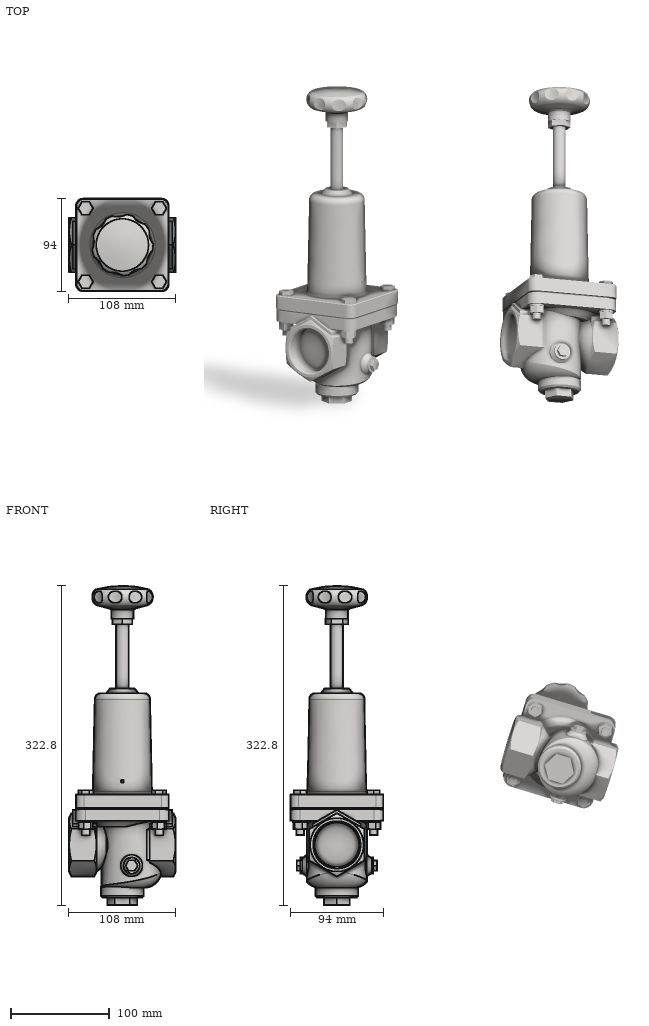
import cadquery as cq
import math

total_height = 322.8
port_span = 108.0

flange_side = 94.0
lower_flange_bottom = 85.5
lower_flange_top = 97.0
upper_flange_bottom = 98.5
upper_flange_top = 112.3
lower_corner_radius = 9.7
upper_corner_radius = 7.7
flange_edge_chamfer = 0.5
gasket_side = 88.5
flare_bottom = 79.5
flare_top_radius = 37.8
flare_bottom_radius = 30.5

bolt_offset = 37.0
bolt_diameter = 8.0
bolt_hex_flats = 13.0
bolt_head_height = 4.0
nut_height = 6.8
nut_turn = 15.0
nut_washer_diameter = 15.0
nut_washer_thickness = 2.0
bolt_end = 70.7

chamber_offset = 9.5
chamber_diameter = 61.0
chamber_bottom = 17.5
bowl_offset = 5.0
bowl_belly_radius = 31.5
bowl_belly = 25.2
bowl_rim = 35.5
cap_diameter = 43.5
cap_bottom = 7.7
cap_top = 18.5
cap_chamfer = 2.0
drain_hex_flats = 26.5

port_height = 61.0
port_hex_flats = 55.5
port_face_diameter = 54.0
port_face_chamfer = 2.5
port_bore_diameter = 45.0
port_bore_depth = 19.5
port_bore_chamfer = 1.5
left_hex_end = -25.8
left_neck_end = -16.0
left_neck_radius = 18.7
right_hex_start = 27.8
right_neck_flats = 53.0
rib_rise = 3.2
rib_half_width = 24.2
rib_setback = 4.0

plug_height = 40.0
plug_reach = 40.7
plug_hex_flats = 10.5
plug_washer_diameter = 16.5
plug_washer_face = 36.8
plug_boss_face = 35.2
plug_boss_diameter = 15.0
plug_boss_root_diameter = 22.0
plug_boss_root = 30.5

bonnet_base_radius = 30.0
bonnet_shoulder_radius = 28.0
bonnet_shoulder = 208.0
bonnet_top = 214.5
bonnet_shoulder_fillet = bonnet_top - bonnet_shoulder
bonnet_foot_fillet = 3.0
nose_base_radius = 16.0
nose_top_diameter = 26.0
nose_top_radius = nose_top_diameter / 2
nose_top = 219.2
nose_chamfer = 1.0
vent_diameter = 3.0
vent_height = 125.2
vent_depth = 6.5

spindle_diameter = 13.0
locknut_flats = 20.0
locknut_bottom = 283.7
hub_bottom = 289.5
hub_diameter = 23.0
hub_top = 298.5
wheel_bottom = 300.0
wheel_bottom_radius = 13.5
rim_bottom = 302.8
rim_bottom_radius = 25.0
rim_middle = 311.2
rim_radius = 31.0
rim_top = 319.2
rim_top_radius = 26.5
grip_count = 9
grip_start_angle = 16.0
grip_cut_radius = 17.8
grip_depth = 2.3


def corner_diameter(flats):
    """Across-corner size of a hexagon given its across-flats size."""
    return flats / math.cos(math.radians(30))


def cylinder(diameter, bottom, top):
    return cq.Workplane("XY").workplane(offset=bottom).circle(diameter / 2).extrude(top - bottom)


def hex_prism(flats, bottom, top):
    """Upright hexagon with two corners on X."""
    plane = cq.Workplane("XY").workplane(offset=bottom)
    return plane.polygon(6, corner_diameter(flats)).extrude(top - bottom)


def square_plate(side, bottom, top, corner_radius):
    plate = cq.Workplane("XY").workplane(offset=bottom).rect(side, side).extrude(top - bottom)
    return plate.edges("|Z").fillet(corner_radius)


def cone_frustum(bottom_radius, bottom, top_radius, top):
    profile = cq.Workplane("XZ").polyline([(0, bottom), (bottom_radius, bottom), (top_radius, top), (0, top)])
    return profile.close().revolve(360, (0, 0), (0, 1))


def port_hexagon(flats, start, end):
    """Hexagonal prism along X on the port axis, with two corners on Z."""
    outline = cq.Workplane("YZ", origin=(start, 0, port_height))
    outline = outline.polygon(6, corner_diameter(flats))
    return outline.extrude(end - start).rotate((0, 0, port_height), (1, 0, port_height), 90)


def revolve_on_port_axis(points):
    """Solid of revolution about the port axis from (x, radius) points."""
    profile = cq.Workplane("XZ", origin=(0, 0, port_height)).polyline(points)
    return profile.close().revolve(360, (0, 0), (1, 0))


def flanges():
    lower = square_plate(flange_side, lower_flange_bottom, lower_flange_top, lower_corner_radius)
    gasket = square_plate(gasket_side, lower_flange_top, upper_flange_bottom, lower_corner_radius)
    upper = square_plate(flange_side, upper_flange_bottom, upper_flange_top, upper_corner_radius)
    upper = upper.faces(">Z").edges().chamfer(flange_edge_chamfer)
    flare = cone_frustum(flare_bottom_radius, flare_bottom, flare_top_radius, lower_flange_bottom)
    return lower.union(gasket).union(upper).union(flare)


def bolt():
    nut_top = lower_flange_bottom - nut_washer_thickness
    head = hex_prism(bolt_hex_flats, upper_flange_top, upper_flange_top + bolt_head_height)
    nut = hex_prism(bolt_hex_flats, nut_top - nut_height, nut_top).rotate((0, 0, 0), (0, 0, 1), nut_turn)
    washer = cylinder(nut_washer_diameter, nut_top, lower_flange_bottom)
    shank = cylinder(bolt_diameter, bolt_end, upper_flange_top)
    return shank.union(head).union(washer).union(nut)


def chamber():
    barrel = cylinder(chamber_diameter, chamber_bottom, lower_flange_bottom)
    barrel = barrel.translate((chamber_offset, 0, 0))
    bowl_radius = chamber_offset - bowl_offset + chamber_diameter / 2
    bowl = (
        cq.Workplane("XZ")
        .moveTo(0, chamber_bottom)
        .lineTo(cap_diameter / 2 - bowl_offset, chamber_bottom)
        .threePointArc((bowl_belly_radius, bowl_belly), (bowl_radius, bowl_rim))
        .lineTo(bowl_radius, lower_flange_bottom)
        .lineTo(0, lower_flange_bottom)
        .close()
        .revolve(360, (0, 0), (0, 1))
        .translate((bowl_offset, 0, 0))
    )
    return barrel.intersect(bowl)


def bottom_cap():
    cap = cylinder(cap_diameter, cap_bottom, cap_top).faces("<Z").edges().chamfer(cap_chamfer)
    return cap.union(hex_prism(drain_hex_flats, 0, cap_bottom))


def port_rib(inner, outer):
    """Roof-shaped rib over a port hexagon, reaching up under the lower flange."""
    ridge = port_height + corner_diameter(port_hex_flats) / 2 + rib_rise
    eave = ridge - rib_half_width * math.tan(math.radians(30))
    outline = cq.Workplane("YZ", origin=(inner, 0, 0)).polyline([
        (-rib_half_width, port_height),
        (rib_half_width, port_height),
        (rib_half_width, eave),
        (0, ridge),
        (-rib_half_width, eave),
    ])
    return outline.close().extrude(outer - inner)


def ports():
    face = port_span / 2
    corner_radius = corner_diameter(port_hex_flats) / 2
    face_radius = port_face_diameter / 2
    envelope = revolve_on_port_axis([
        (-face, 0),
        (-face, face_radius),
        (-face + port_face_chamfer, corner_radius),
        (left_hex_end - port_face_chamfer, corner_radius),
        (left_hex_end, face_radius),
        (left_neck_end, left_neck_radius),
        (chamber_offset, left_neck_radius),
        (chamber_offset, corner_radius),
        (face - port_face_chamfer, corner_radius),
        (face, face_radius),
        (face, 0),
    ])
    hexagons = port_hexagon(port_hex_flats, -face, chamber_offset)
    hexagons = hexagons.union(port_hexagon(right_neck_flats, chamber_offset, right_hex_start))
    hexagons = hexagons.union(port_hexagon(port_hex_flats, right_hex_start, face))
    rib_end = face - rib_setback
    ribs = port_rib(-rib_end, left_hex_end).union(port_rib(right_hex_start, rib_end))
    return hexagons.intersect(envelope).union(ribs)


def port_bore():
    """Blind bore of the left port with its lead-in chamfer."""
    face = port_span / 2
    radius = port_bore_diameter / 2
    return revolve_on_port_axis([
        (-face, 0),
        (-face, radius + port_bore_chamfer),
        (-face + port_bore_chamfer, radius),
        (-face + port_bore_depth, radius),
        (-face + port_bore_depth, 0),
    ])


def side_plug():
    """Plug standing upright on Z, later turned to point along -Y."""
    boss = cone_frustum(plug_boss_root_diameter / 2, plug_boss_root, plug_boss_diameter / 2, plug_boss_face)
    washer = cylinder(plug_washer_diameter, plug_boss_face, plug_washer_face)
    head = hex_prism(plug_hex_flats, plug_washer_face, plug_reach)
    root = cylinder(plug_boss_root_diameter, 0, plug_boss_root)
    plug = root.union(boss).union(washer).union(head)
    return plug.rotate((0, 0, 0), (1, 0, 0), 90).translate((chamber_offset, 0, plug_height))


def bonnet():
    foot_radius = bonnet_base_radius + bonnet_foot_fillet
    foot_top = upper_flange_top + bonnet_foot_fillet
    diagonal = math.sqrt(0.5)
    foot_middle = (foot_radius - bonnet_foot_fillet * diagonal, foot_top - bonnet_foot_fillet * diagonal)
    crown_radius = bonnet_shoulder_radius - bonnet_shoulder_fillet
    crown_middle = (
        crown_radius + bonnet_shoulder_fillet * diagonal,
        bonnet_shoulder + bonnet_shoulder_fillet * diagonal,
    )
    profile = (
        cq.Workplane("XZ")
        .moveTo(0, upper_flange_top)
        .lineTo(foot_radius, upper_flange_top)
        .threePointArc(foot_middle, (bonnet_base_radius, foot_top))
        .lineTo(bonnet_shoulder_radius, bonnet_shoulder)
        .threePointArc(crown_middle, (crown_radius, bonnet_top))
        .lineTo(nose_base_radius, bonnet_top)
        .lineTo(nose_top_radius, nose_top - nose_chamfer)
        .lineTo(nose_top_radius - nose_chamfer, nose_top)
        .lineTo(0, nose_top)
        .close()
    )
    return profile.revolve(360, (0, 0), (0, 1))


def vent_hole():
    plane = cq.Workplane("XZ", origin=(0, -bonnet_base_radius + vent_depth, vent_height))
    return plane.circle(vent_diameter / 2).extrude(vent_depth + bonnet_foot_fillet)


def handwheel():
    dome_height = total_height - rim_top
    dome_radius = (rim_top_radius**2 + dome_height**2) / (2 * dome_height)
    half_way = rim_top_radius / 2
    dome_middle = (half_way, total_height - dome_radius + math.sqrt(dome_radius**2 - half_way**2))
    profile = (
        cq.Workplane("XZ")
        .moveTo(0, hub_top)
        .lineTo(hub_diameter / 2, hub_top)
        .lineTo(wheel_bottom_radius, wheel_bottom)
        .lineTo(rim_bottom_radius, rim_bottom)
        .threePointArc((rim_radius, rim_middle), (rim_top_radius, rim_top))
        .threePointArc(dome_middle, (0, total_height))
        .close()
    )
    wheel = profile.revolve(360, (0, 0), (0, 1))
    grip_circle = rim_radius - grip_depth + grip_cut_radius
    grips = (
        cq.Workplane("XY")
        .workplane(offset=wheel_bottom)
        .polarArray(grip_circle, grip_start_angle, 360, grip_count)
        .circle(grip_cut_radius)
        .extrude(total_height - wheel_bottom, combine=False)
    )
    return wheel.cut(grips)


def spindle():
    rod = cylinder(spindle_diameter, bonnet_top, hub_top)
    locknut = hex_prism(locknut_flats, locknut_bottom, hub_bottom).rotate((0, 0, 0), (0, 0, 1), 90)
    return rod.union(locknut).union(cylinder(hub_diameter, hub_bottom, hub_top))


result = flanges().union(chamber()).union(bottom_cap()).union(ports())
for x in (-bolt_offset, bolt_offset):
    for y in (-bolt_offset, bolt_offset):
        result = result.union(bolt().translate((x, y, 0)))
result = result.union(side_plug()).union(side_plug().mirror("XZ"))
result = result.union(bonnet()).cut(vent_hole())
result = result.union(spindle()).union(handwheel())
result = result.cut(port_bore()).cut(port_bore().mirror("YZ"))